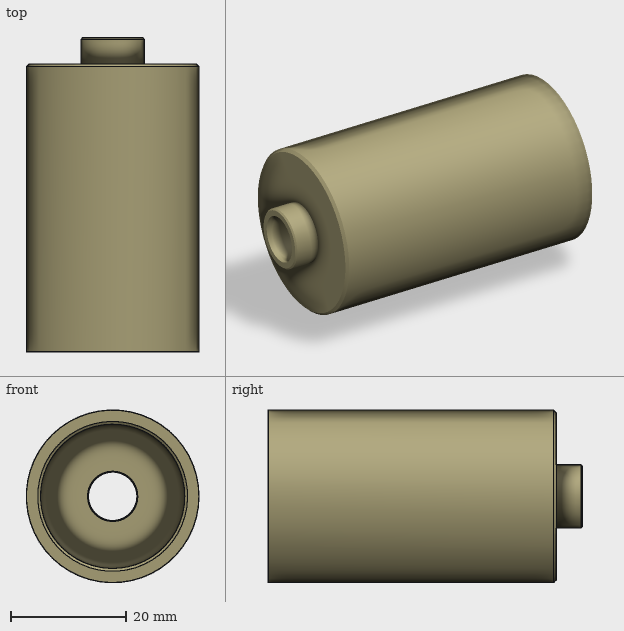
import cadquery as cq

total_length = 54.5
sleeve_diameter = 30.0
spigot_length = 4.5
spigot_diameter = 11.0
spigot_chamfer = 0.25
rim_chamfer = 0.5

cavity_diameter = 25.0
cavity_floor_fillet = 1.0
bore_diameter = 8.4
bore_chamfer = 0.15

sleeve_length = total_length - spigot_length
front_y = -total_length / 2
sleeve_back_y = front_y + sleeve_length
wall_thickness = (sleeve_diameter - cavity_diameter) / 2
floor_y = sleeve_back_y - wall_thickness


def cylinder(diameter, start_y, length):
    """Cylinder on the Y axis, running from start_y towards +Y."""
    plane = cq.Plane(origin=(0, start_y, 0), xDir=(1, 0, 0), normal=(0, 1, 0))
    return cq.Workplane(plane).circle(diameter / 2).extrude(length)


def cone(start_diameter, end_diameter, start_y, length):
    """Truncated cone on the Y axis, running from start_y towards +Y."""
    solid = cq.Solid.makeCone(
        start_diameter / 2,
        end_diameter / 2,
        length,
        cq.Vector(0, start_y, 0),
        cq.Vector(0, 1, 0),
    )
    return cq.Workplane(obj=solid)


sleeve = cylinder(sleeve_diameter, front_y, sleeve_length)
sleeve = sleeve.faces(">Y").edges().chamfer(rim_chamfer)
spigot = cylinder(spigot_diameter, sleeve_back_y, spigot_length)
spigot = spigot.faces(">Y").edges().chamfer(spigot_chamfer)

cavity = cylinder(cavity_diameter, front_y, floor_y - front_y)
cavity = cavity.faces(">Y").edges().fillet(cavity_floor_fillet)
mouth = cone(cavity_diameter + 2 * rim_chamfer, cavity_diameter, front_y, rim_chamfer)

bore = cylinder(bore_diameter, front_y, total_length)
bore_mouth = cone(bore_diameter + 2 * bore_chamfer, bore_diameter, floor_y, bore_chamfer)

result = sleeve.union(spigot).cut(cavity).cut(mouth).cut(bore).cut(bore_mouth)